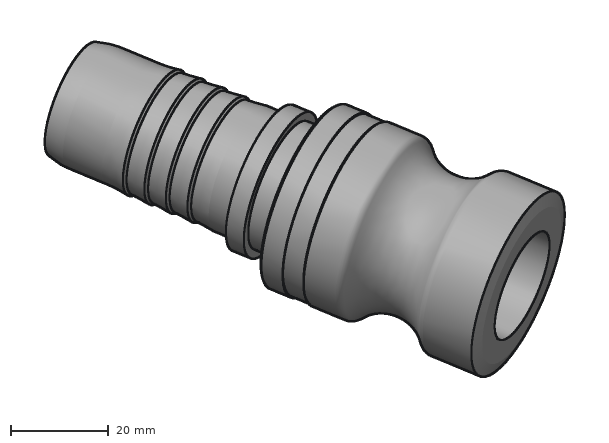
import cadquery as cq
import math


length = 104.0
bore_radius = 24.0 / 2

tip_radius = 12.7
tail_radius = 27.0 / 2
barb_radius = 28.0 / 2
tip_end = 4.8
flare_start = 13.8
flare_end = 18.8
barb_pitch = 5.0
barb_count = 4
barb_step = 0.6

collar_radius = 32.5 / 2
collar_start = 43.9
collar_end = 48.0
neck_radius = 28.5 / 2

body_radius = 41.0 / 2
band_radius = 40.5 / 2
body_start = 54.0
band_start = 59.3
band_end = 64.0
body_chamfer = 0.4

groove_center = 81.8
groove_floor_radius = 15.7
groove_arc_radius = 11.0
groove_blend_radius = 2.1

taper_length = 0.9
taper_depth = 3.1


def midway_rise(run, end_rise):
    """Rise at half the run of an arc that starts level and climbs by end_rise over the run."""
    arc_radius = (run**2 + end_rise**2) / (2 * end_rise)
    return arc_radius - math.sqrt(arc_radius**2 - (run / 2) ** 2)


def add_tail(profile):
    """Trace the hose tail from the tip to the collar."""
    tip_middle = tail_radius - midway_rise(tip_end, tail_radius - tip_radius)
    flare_length = flare_end - flare_start
    flare_middle = tail_radius + midway_rise(flare_length, barb_radius - tail_radius)
    profile = (
        profile.lineTo(0, tip_radius)
        .threePointArc((tip_end / 2, tip_middle), (tip_end, tail_radius))
        .lineTo(flare_start, tail_radius)
        .threePointArc((flare_start + flare_length / 2, flare_middle), (flare_end, barb_radius))
    )
    for i in range(barb_count):
        crest = flare_end + i * barb_pitch
        profile = profile.lineTo(crest + barb_step, tail_radius)
        profile = profile.lineTo(crest + barb_pitch, barb_radius)
    return profile.lineTo(collar_start, barb_radius)


def add_collar_and_neck(profile):
    """Trace the collar and the neck up to the body."""
    return (
        profile.lineTo(collar_start, collar_radius)
        .lineTo(collar_end, collar_radius)
        .lineTo(collar_end, neck_radius)
        .lineTo(body_start, neck_radius)
    )


def add_banded_body(profile):
    """Trace the chamfered body and its recessed band."""
    return (
        profile.lineTo(body_start, body_radius - body_chamfer)
        .lineTo(body_start + body_chamfer, body_radius)
        .lineTo(band_start, body_radius)
        .lineTo(band_start, band_radius)
        .lineTo(band_end, band_radius)
        .lineTo(band_end + body_radius - band_radius, body_radius)
    )


def add_cam_groove(profile):
    """Trace the groove arc and the two convex blends tangent to it and to the body."""
    arc_center_height = groove_floor_radius + groove_arc_radius
    blend_center_height = body_radius - groove_blend_radius
    center_distance = groove_arc_radius + groove_blend_radius
    slope_angle = math.acos((arc_center_height - blend_center_height) / center_distance)
    blend_offset = center_distance * math.sin(slope_angle)
    tangent_offset = groove_arc_radius * math.sin(slope_angle)
    tangent_height = arc_center_height - groove_arc_radius * math.cos(slope_angle)
    blend_middle_offset = blend_offset - groove_blend_radius * math.sin(slope_angle / 2)
    blend_middle_height = blend_center_height + groove_blend_radius * math.cos(slope_angle / 2)
    return (
        profile.lineTo(groove_center - blend_offset, body_radius)
        .threePointArc(
            (groove_center - blend_middle_offset, blend_middle_height),
            (groove_center - tangent_offset, tangent_height),
        )
        .threePointArc(
            (groove_center, groove_floor_radius),
            (groove_center + tangent_offset, tangent_height),
        )
        .threePointArc(
            (groove_center + blend_middle_offset, blend_middle_height),
            (groove_center + blend_offset, body_radius),
        )
    )


def add_tapered_end(profile):
    """Trace the end of the body and return to the bore."""
    return (
        profile.lineTo(length - taper_length, body_radius)
        .lineTo(length, body_radius - taper_depth)
        .lineTo(length, bore_radius)
    )


profile = cq.Workplane("XY").moveTo(0, bore_radius)
profile = add_tail(profile)
profile = add_collar_and_neck(profile)
profile = add_banded_body(profile)
profile = add_cam_groove(profile)
profile = add_tapered_end(profile)

result = profile.close().revolve(360, (0, 0, 0), (1, 0, 0))